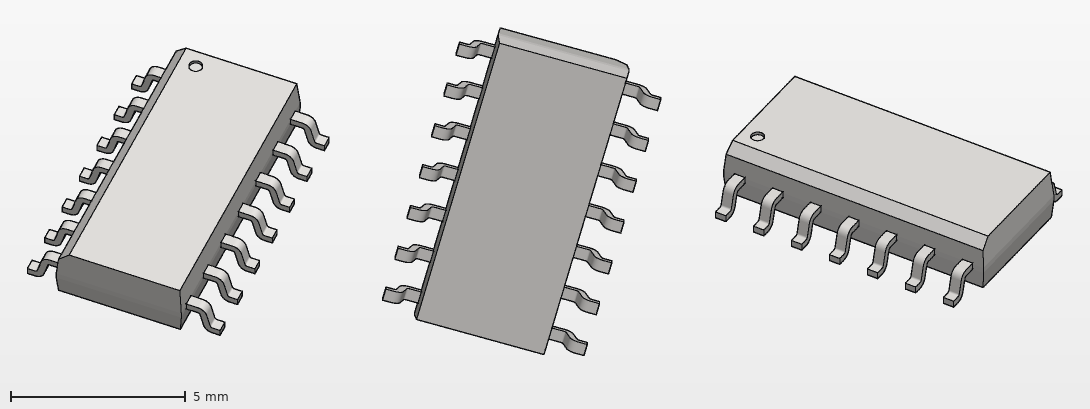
import cadquery as cq
import math

housing_width = 3.9
housing_length = 8.7
housing_bottom = 0.1
housing_top = 1.75
draft_angle = 5.0

band_bottom = 0.68
band_top = 0.86

bevel_inset = 0.37
bevel_drop = 0.35

mark_diameter = 0.4
mark_inset_x = 0.9
mark_inset_y = 0.6
mark_recess_depth = 0.1
mark_thickness = 0.04

lead_count = 7
lead_pitch = 1.27
lead_span = 6.0
lead_width = 0.35
lead_thickness = 0.22
lead_top = band_bottom + lead_thickness
lead_lean_angle = 15.0
shoulder_span = 4.61
inner_bend_radius = 0.07
outer_bend_radius = inner_bend_radius + lead_thickness


def make_housing_blank():
    """Band with drafted blocks above and below it."""
    band = (
        cq.Workplane("XY", origin=(0, 0, band_bottom))
        .rect(housing_width, housing_length)
        .extrude(band_top - band_bottom)
    )
    upper = (
        cq.Workplane("XY", origin=(0, 0, band_top))
        .rect(housing_width, housing_length)
        .extrude(housing_top - band_top, taper=draft_angle)
    )
    lower = (
        cq.Workplane("XY", origin=(0, 0, band_bottom))
        .rect(housing_width, housing_length)
        .extrude(housing_bottom - band_bottom, taper=draft_angle)
    )
    return band.union(upper).union(lower)


def make_bevel_cutter():
    """Triangular prism that removes the upper edge on the -X side."""
    side_x = -housing_width / 2
    low_z = housing_top - bevel_drop
    return (
        cq.Workplane("XZ")
        .polyline([(side_x, low_z), (side_x + bevel_inset, housing_top), (side_x, housing_top)])
        .close()
        .extrude(housing_length / 2, both=True)
    )


def make_disc(top, thickness):
    """Disc at the pin 1 corner, with its upper face at the given height."""
    centre_x = -housing_width / 2 + mark_inset_x
    centre_y = housing_length / 2 - mark_inset_y
    return (
        cq.Workplane("XY", origin=(centre_x, centre_y, top - thickness))
        .circle(mark_diameter / 2)
        .extrude(thickness)
    )


def round_corners(strip, y, corners, radius):
    """Round the strip edges at the given (x, z) corners and at their mirror images."""
    for x, z in corners:
        for corner_x in (-x, x):
            strip = strip.edges(cq.NearestToPointSelector((corner_x, y, z))).fillet(radius)
    return strip


def make_lead(y):
    """Constant-thickness strip with a foot and a shoulder at both ends."""
    bend_factor = math.tan(math.radians(90 - lead_lean_angle) / 2)
    rise = lead_top - lead_thickness
    end_x = lead_span / 2

    shoulder_upper_x = shoulder_span / 2 + outer_bend_radius * bend_factor
    foot_upper_x = shoulder_upper_x + rise * math.tan(math.radians(lead_lean_angle))
    shoulder_lower_x = shoulder_upper_x - lead_thickness * bend_factor
    foot_lower_x = foot_upper_x - lead_thickness * bend_factor

    right_half = [
        (shoulder_upper_x, lead_top),
        (foot_upper_x, lead_thickness),
        (end_x, lead_thickness),
        (end_x, 0),
        (foot_lower_x, 0),
        (shoulder_lower_x, rise),
    ]
    left_half = [(-x, z) for x, z in reversed(right_half)]
    strip = (
        cq.Workplane("XZ", origin=(0, y, 0))
        .polyline(right_half + left_half)
        .close()
        .extrude(lead_width / 2, both=True)
    )

    outer_corners = [(shoulder_upper_x, lead_top), (foot_lower_x, 0)]
    inner_corners = [(foot_upper_x, lead_thickness), (shoulder_lower_x, rise)]
    strip = round_corners(strip, y, outer_corners, outer_bend_radius)
    return round_corners(strip, y, inner_corners, inner_bend_radius)


def make_leads():
    """Row of equal leads, evenly spaced along Y."""
    first_y = -lead_pitch * (lead_count - 1) / 2
    return [make_lead(first_y + index * lead_pitch) for index in range(lead_count)]


leads = make_leads()
mark_top = housing_top - mark_recess_depth
pin_1_mark = make_disc(mark_top, mark_thickness)
mark_recess = make_disc(housing_top, mark_recess_depth + mark_thickness)

housing = make_housing_blank().cut(make_bevel_cutter()).cut(mark_recess)
for lead in leads:
    housing = housing.cut(lead)

result = cq.Compound.makeCompound(
    [housing.val(), pin_1_mark.val(), *[lead.val() for lead in leads]]
)